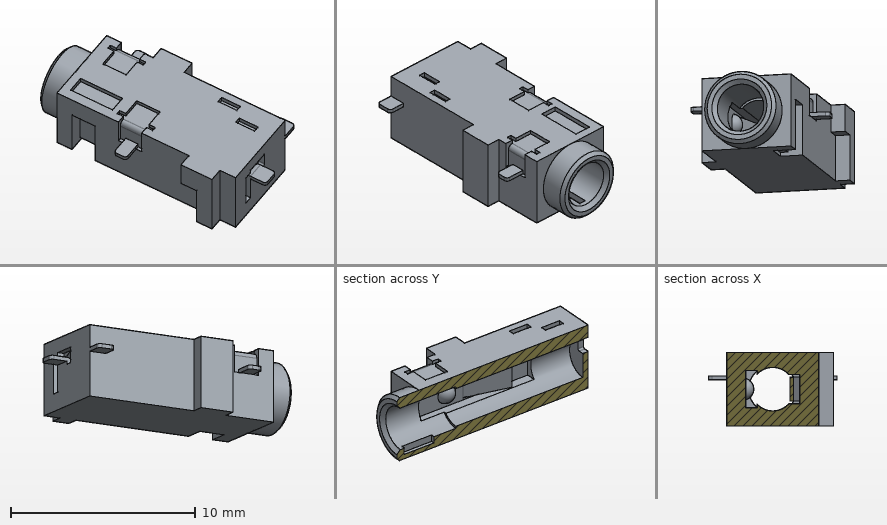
import cadquery as cq


total_length = 14.0
height = 4.0
body_start = 1.5
body_end = 13.0
body_width = 5.0
barrel_chamfer = 0.2
top = height / 2
side = body_width / 2

lug_length = 2.0
lug_reach = 0.8
back_lug_start = 4.5
front_lug_start = 10.0
lug_step_length = lug_length / 2
lug_step_depth = 1.5

mouth_radius = 1.54
bore_radius = 1.3
throat_radius = 1.18
bore_length = 4.0
mouth_chamfer = mouth_radius - bore_radius
rear_wall = 0.38
cavity_end = body_end - rear_wall
key_groove_start = 0.52
key_groove_length = 2.0
key_groove_width = 0.39
key_groove_floor = -1.7
channel_inner_y = 0.85
channel_reach = 1.45
back_channel_height = 1.57
front_channel_height = 2.02
back_channel_end = 10.0

window_start = 2.46
window_width = 1.5
window_top = back_channel_height / 2
window_depth = 0.83
contact_plate_top = 0.34
contact_plate_bottom = -1.79
window_pocket_depth = 1.25

pocket_depth = 0.25
large_pocket = (2.0, -1.92, 2.7, 1.01)
small_pockets = [(9.2, 1.7, 1.2, 0.35), (10.82, 0.94, 1.2, 0.35)]

fold_width = 1.5
fold_inner_y = 0.65
fold_depth = 0.21
fold_radius = 0.3
fold_inset = 0.2
fold_drop = 1.5
wing_length = 2.28
wing_inner_y = 1.75
wing_width = 0.25
back_terminal_x = 3.19
front_terminal_x = 6.2

leg_thickness = 0.22
leg_bottom = top - fold_drop
leg_width = 0.8
leg_tip_y = 3.5
leg_tip_radius = 0.2
wide_leg_width = 1.0

rear_opening_edge = 0.4
rear_opening_floor = 0.34
rear_plate_overlap = 0.25
rear_opening_top = 1.2
rear_corner_radius = 0.1

dome_x = 4.48
dome_radius = 0.6
dome_tip_y = 1.02
spring_height = 1.3
spring_tip_y = 0.77
spring_thickness = 0.2
spring_start = 5.6
spring_end = 8.4


def block(x0, x1, y0, y1, z0, z1):
    """Box between two opposite corners."""
    return cq.Workplane("XY").box(x1 - x0, y1 - y0, z1 - z0, centered=False).translate((x0, y0, z0))


def cylinder_x(radius, x0, x1):
    """Cylinder on the barrel axis."""
    return cq.Workplane("YZ").workplane(offset=x0).circle(radius).extrude(x1 - x0)


def housing():
    """Box body, chamfered barrel and the two side lugs, one of them stepped."""
    body = block(body_start, body_end, -side, side, -top, top)
    barrel = cylinder_x(top, 0, body_start).faces("<X").chamfer(barrel_chamfer)
    back_lug = block(back_lug_start, back_lug_start + lug_length, side, side + lug_reach, -top, top)
    front_lug = block(front_lug_start, front_lug_start + lug_length, -side - lug_reach, -side, -top, top)
    step = block(front_lug_start, front_lug_start + lug_step_length,
                 -side - lug_reach, -side, -top, top - lug_step_depth)
    return body.union(barrel).union(back_lug).union(front_lug.cut(step))


def cavity():
    """Plug bore with a flared mouth, key groove and a contact channel on each side."""
    flare = cq.Workplane("YZ").circle(mouth_radius).workplane(offset=mouth_chamfer).circle(bore_radius).loft()
    space = cylinder_x(bore_radius, 0, bore_length).union(flare)
    space = space.union(cylinder_x(throat_radius, bore_length, cavity_end))
    groove = block(key_groove_start, key_groove_start + key_groove_length,
                   -key_groove_width / 2, key_groove_width / 2, key_groove_floor, 0)
    back_channel = block(window_start, back_channel_end, 0, channel_reach,
                         -back_channel_height / 2, back_channel_height / 2)
    front_channel = block(window_start, cavity_end, -channel_reach, -channel_inner_y,
                          -front_channel_height / 2, front_channel_height / 2)
    return space.union(groove).union(back_channel).union(front_channel)


def rear_opening():
    """Gap beside the rear plate and the round-cornered notch in its top edge."""
    gap = block(cavity_end, body_end, -channel_reach, -wide_leg_width,
                -front_channel_height / 2, front_channel_height / 2)
    notch = block(cavity_end, body_end, -wide_leg_width, rear_opening_edge,
                  rear_opening_floor, rear_opening_top)
    return gap.union(notch.edges("|X and <Z").fillet(rear_corner_radius))


def window():
    """Side opening down to the bottom face, leaving a contact plate standing behind it."""
    x1 = window_start + window_width
    recess = block(window_start, x1, -side, -side + window_depth, -top, window_top)
    above_plate = block(window_start, x1, -side, -channel_reach, contact_plate_top, window_top)
    below_plate = block(window_start, x1, -side, -side + window_pocket_depth, -top, contact_plate_bottom)
    return recess.union(above_plate).union(below_plate)


def top_pocket(x, y, length, width):
    return block(x, x + length, y, y + width, top - pocket_depth, top)


def fold_recess(x):
    """Recess on the back side that leaves the outer face of a strip folded over the top edge."""
    floor = top - fold_depth
    face_y = side - fold_inset
    fold = (
        cq.Workplane("YZ")
        .moveTo(fold_inner_y, top)
        .lineTo(fold_inner_y, floor)
        .lineTo(face_y - fold_radius, floor)
        .radiusArc((face_y, floor - fold_radius), fold_radius)
        .lineTo(face_y, top - fold_drop)
        .lineTo(side, top - fold_drop)
        .lineTo(side, top)
        .close()
        .extrude(fold_width)
        .translate((x - fold_width / 2, 0, 0))
    )
    wings = block(x - wing_length / 2, x + wing_length / 2, wing_inner_y, wing_inner_y + wing_width,
                  top - fold_depth, top)
    return fold.union(wings)


def side_leg(x, width, root_y):
    """Flat leg pointing to +Y with a rounded tip."""
    leg = block(x - width / 2, x + width / 2, root_y, leg_tip_y, leg_bottom, leg_bottom + leg_thickness)
    return leg.edges("|Z and >Y").fillet(leg_tip_radius)


def rear_leg():
    """Leg leaving the rear wall, curving over from the upright rear plate."""
    leg = block(cavity_end, total_length, -wide_leg_width, 0, leg_bottom, leg_bottom + leg_thickness)
    leg = leg.edges("|Z and >X").fillet(leg_tip_radius)
    plate = block(cavity_end, body_end, -wide_leg_width, 0,
                  rear_opening_floor - rear_plate_overlap, leg_bottom + leg_thickness)
    return leg.union(plate).edges("|Y and <X and >Z").fillet(rear_wall)


def mirrored(shape):
    return shape.mirror("XZ")


def contact_dome():
    """Ball-shaped contact bump standing on the back wall of the cavity."""
    ball = cq.Workplane("XY").sphere(dome_radius).translate((dome_x, dome_tip_y + dome_radius, 0))
    return ball.intersect(block(0, total_length, 0, channel_reach + spring_thickness / 2, -top, top))


def spring_arm():
    """Flat arm slanting inward from the back wall of the cavity."""
    return (
        cq.Workplane("XY")
        .workplane(offset=-spring_height / 2)
        .polyline([
            (spring_start, channel_reach + spring_thickness),
            (spring_start, channel_reach),
            (spring_end, spring_tip_y),
            (spring_end, spring_tip_y + spring_thickness),
        ])
        .close()
        .extrude(spring_height)
    )


result = housing().cut(cavity()).cut(rear_opening()).cut(window())
for pocket in [large_pocket] + small_pockets:
    result = result.cut(top_pocket(*pocket))

result = result.cut(fold_recess(back_terminal_x))
result = result.cut(mirrored(fold_recess(front_terminal_x)))

folded_leg_root = side - 2 * fold_inset
result = result.union(side_leg(back_terminal_x, leg_width, folded_leg_root))
result = result.union(mirrored(side_leg(front_terminal_x, leg_width, folded_leg_root)))
result = result.union(side_leg(body_end - wide_leg_width / 2, wide_leg_width, side - fold_inset))
result = result.union(rear_leg())

result = result.union(contact_dome()).union(mirrored(contact_dome())).union(spring_arm())